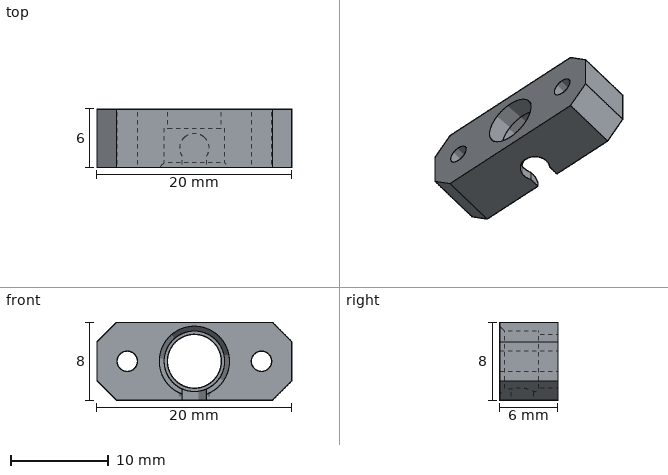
import cadquery as cq

length = 20
depth = 6
height = 8
corner_chamfer = 2

mount_hole_diameter = 2.05
mount_hole_spacing = 13.75

mouth_diameter = 7.2
bore_diameter = 6.2
lip_diameter = 5.5
lip_thickness = 2
countersink_depth = (mouth_diameter - bore_diameter) / 2

slot_width = 2.5
keyhole_diameter = 3
keyhole_distance = 2


def make_body():
    """Rectangular bar with its four end edges chamfered."""
    bar = cq.Workplane("XY").box(length, depth, height).translate((0, depth / 2, 0))
    return bar.edges("|Y").chamfer(corner_chamfer)


def make_mount_holes():
    """Two through holes, one at each end of the bar."""
    offset = mount_hole_spacing / 2
    return (
        cq.Workplane("XZ")
        .pushPoints([(-offset, 0), (offset, 0)])
        .circle(mount_hole_diameter / 2)
        .extrude(-depth)
    )


def make_bore():
    """Stepped bore, revolved about the Y axis."""
    lip_start = depth - lip_thickness
    return (
        cq.Workplane("XY")
        .moveTo(0, 0)
        .lineTo(mouth_diameter / 2, 0)
        .lineTo(bore_diameter / 2, countersink_depth)
        .lineTo(bore_diameter / 2, lip_start)
        .lineTo(lip_diameter / 2, lip_start)
        .lineTo(lip_diameter / 2, depth)
        .lineTo(0, depth)
        .close()
        .revolve(360, (0, 0, 0), (0, 1, 0))
    )


def make_keyhole():
    """Keyhole from the bottom face up into the bore."""
    floor = cq.Workplane("XY", origin=(0, 0, -height / 2))
    hole = floor.center(0, keyhole_distance).circle(keyhole_diameter / 2).extrude(height / 2)
    slot = floor.center(0, keyhole_distance / 2).rect(slot_width, keyhole_distance).extrude(height / 2)
    return hole.union(slot)


result = make_body().cut(make_mount_holes()).cut(make_bore()).cut(make_keyhole())